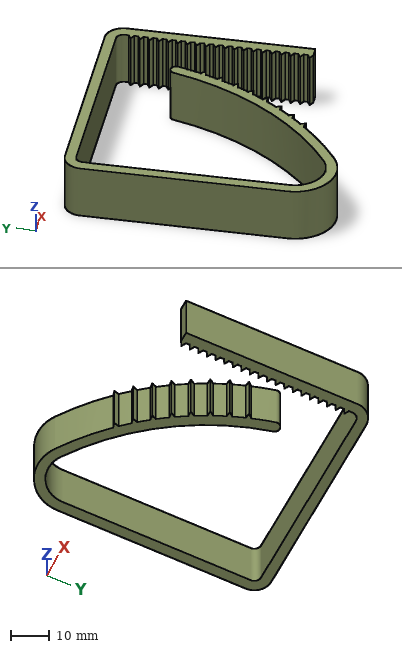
import cadquery as cq
import math

band_width = 15.0
wall = 3.0
outer_x = 65.0
corner_radius = 5.0
grip_arm_length = 55.0
back_length = 60.0
bend_radius = 11.0
spring_radius = 79.5
spring_start_angle = 56.3
spring_end_angle = 13.4

tooth_side = 1.5
tooth_height = tooth_side * math.sqrt(3) / 2
tooth_root_overlap = 0.2
grip_tooth_count = 20
grip_tooth_pitch = 2.5
spring_tooth_count = 8
spring_tooth_first_angle = 18.65
spring_tooth_pitch_angle = 3.6

bend_center = (bend_radius, -back_length)
center_distance = spring_radius - bend_radius


def polar(center, radius, angle_below_x):
    """Point on a circle, its angle measured in degrees clockwise from +X."""
    angle = math.radians(angle_below_x)
    return (center[0] + radius * math.cos(angle), center[1] - radius * math.sin(angle))


spring_center = polar(bend_center, -center_distance, spring_start_angle)


def make_band():
    """Constant-thickness band: grip arm, top, back, lower bend and spring arm."""
    inner_corner = corner_radius - wall
    inner_bend = bend_radius - wall
    spring_inner = spring_radius - wall
    spring_middle_radius = spring_radius - wall / 2
    spring_middle_angle = (spring_start_angle + spring_end_angle) / 2
    bend_middle_angle = (180 + spring_start_angle) / 2

    left_center = (corner_radius, -corner_radius)
    right_center = (outer_x - corner_radius, -corner_radius)
    upper_left = 225
    upper_right = 315

    tip_center = polar(spring_center, spring_middle_radius, spring_end_angle)
    tip_apex = polar(tip_center, wall / 2, spring_end_angle - 90)

    return (
        cq.Workplane("XY")
        .moveTo(outer_x, -grip_arm_length)
        .lineTo(outer_x, -corner_radius)
        .threePointArc(polar(right_center, corner_radius, upper_right), (outer_x - corner_radius, 0))
        .lineTo(corner_radius, 0)
        .threePointArc(polar(left_center, corner_radius, upper_left), (0, -corner_radius))
        .lineTo(0, -back_length)
        .threePointArc(
            polar(bend_center, bend_radius, bend_middle_angle),
            polar(bend_center, bend_radius, spring_start_angle),
        )
        .threePointArc(
            polar(spring_center, spring_radius, spring_middle_angle),
            polar(spring_center, spring_radius, spring_end_angle),
        )
        .threePointArc(tip_apex, polar(spring_center, spring_inner, spring_end_angle))
        .threePointArc(
            polar(spring_center, spring_inner, spring_middle_angle),
            polar(spring_center, spring_inner, spring_start_angle),
        )
        .threePointArc(polar(bend_center, inner_bend, bend_middle_angle), (wall, -back_length))
        .lineTo(wall, -corner_radius)
        .threePointArc(polar(left_center, inner_corner, upper_left), (corner_radius, -wall))
        .lineTo(outer_x - corner_radius, -wall)
        .threePointArc(polar(right_center, inner_corner, upper_right), (outer_x - wall, -corner_radius))
        .lineTo(outer_x - wall, -grip_arm_length)
        .close()
        .extrude(band_width)
    )


def make_tooth(base_point, angle_below_x):
    """Ridge on a wall at base_point, pointing along the given clockwise angle."""
    half = tooth_side / 2
    return (
        cq.Workplane("XY")
        .polyline([
            (-tooth_root_overlap, -half),
            (0, -half),
            (tooth_height, 0),
            (0, half),
            (-tooth_root_overlap, half),
        ])
        .close()
        .extrude(band_width)
        .rotate((0, 0, 0), (0, 0, 1), -angle_below_x)
        .translate((base_point[0], base_point[1], 0))
    )


def add_grip_teeth(body):
    """Row on the inner face of the grip arm; the lowest tooth ends flush with the arm."""
    lowest_y = -grip_arm_length + tooth_side / 2
    for i in range(grip_tooth_count):
        base_point = (outer_x - wall, lowest_y + i * grip_tooth_pitch)
        body = body.union(make_tooth(base_point, 180))
    return body


def add_spring_teeth(body):
    """Row on the outer face of the spring arm, each tooth pointing radially outward."""
    for i in range(spring_tooth_count):
        angle = spring_tooth_first_angle + i * spring_tooth_pitch_angle
        body = body.union(make_tooth(polar(spring_center, spring_radius, angle), angle))
    return body


result = add_spring_teeth(add_grip_teeth(make_band()))